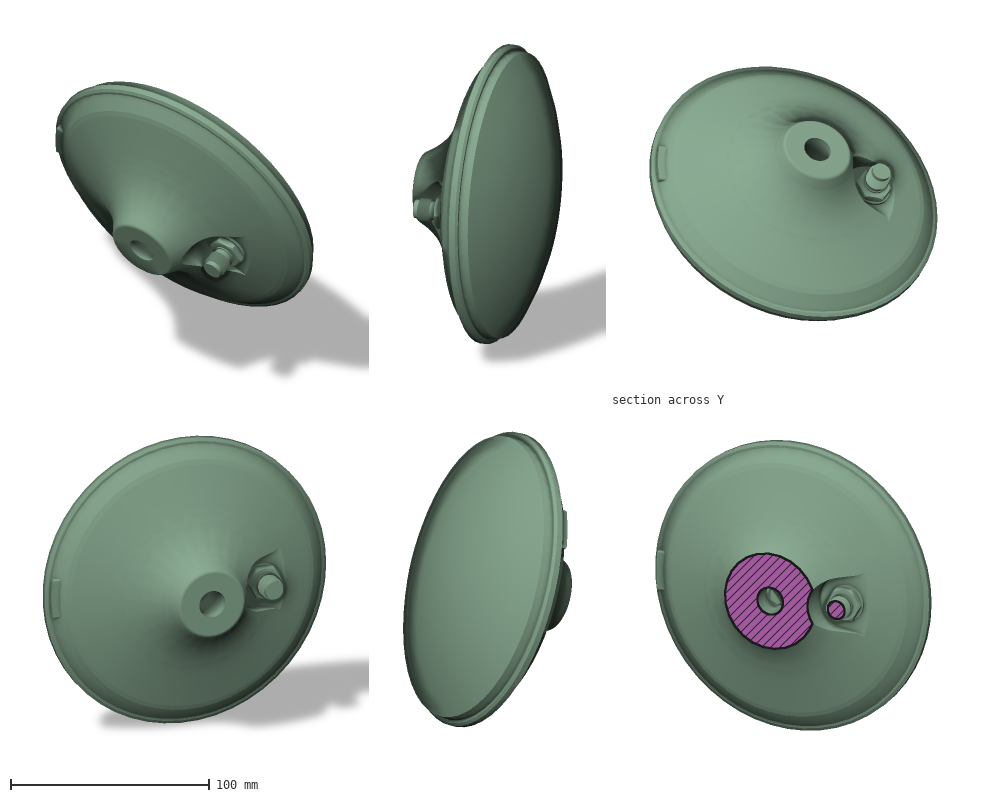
import cadquery as cq
import math

flange_radius = 75.8
height = 66.5
mounting_face_y = -height / 2
hexagon_half_angle = 30.0

dome_rim_radius = 72.4
dome_rim_level = 47.4
dome_wall_radius = 73.0

flange_top_level = 42.7
flange_bottom_level = 37.5
flange_top_chamfer = 1.2
flange_bottom_chamfer = 0.9
flange_bottom_radius = 74.2

bevel_radius = 73.0
shoulder_outer_radius = 66.5
shoulder_outer_level = 32.1
shoulder_inner_radius = 64.1
shoulder_inner_level = 30.9
flare_end_radius = 39.7
flare_end_level = 21.2
neck_mid_radius = 26.0
neck_mid_level = 12.3
stem_half_angle = 28.0
stem_radius = 18.0
stem_edge_level = 1.0
mounting_face_radius = 16.5

bore_radius = 7.0
bore_depth = 22.7
screw_across_flats = 7.9
screw_head_height = 2.3
screw_slot_width = 1.0
screw_slot_depth = 1.2
screw_slot_angle = 52.0

pocket_floor_level = 25.1
pocket_center_x = 35.6
pocket_radius = 14.0
pocket_draft = 4.0
pocket_side_x = 42.7
pocket_side_half_width = 15.3
pocket_tip_x = 46.0
pocket_tip_half_width = 17.1
pocket_end_x = 51.5
pocket_end_half_width = 20.1
pocket_arc_end_x = 33.3

connector_x = 36.5
washer_radius = 9.2
washer_thickness = 1.4
nut_across_flats = 15.9
nut_thickness = 3.6
nut_chamfer_angle = 30.0
barrel_radius = 4.7
barrel_end_level = 8.2
collar_radius = 5.3
collar_thickness = 0.8
thread_crest_radius = 5.8
thread_start_level = 10.5
thread_pitch = 0.9
thread_count = 7

tab_half_width = 10.5
tab_radius = 73.3
tab_depth = 6.7
tab_bottom_level = 34.4
tab_corner_radius = 1.0
tab_groove_half_width = 9.0
tab_groove_top_level = 37.1
tab_groove_bottom_level = 36.0
tab_groove_depth = 0.6


def revolve_about(profile, axis_x=0.0):
    """Revolve an (X, level) profile about the line parallel to Y at axis_x."""
    return profile.close().revolve(360, (axis_x, 0, 0), (axis_x, 1, 0))


def facing_mount(level):
    """Workplane at a level with local X, Y along X, Z and its normal towards the mounting face."""
    return cq.Workplane("XZ", origin=(0, level, 0))


def make_housing():
    dome_sag = height - dome_rim_level
    dome_sphere_radius = (dome_rim_radius**2 + dome_sag**2) / (2 * dome_sag)
    dome_mid_radius = dome_rim_radius / 2
    dome_mid_level = height - dome_sphere_radius + math.sqrt(dome_sphere_radius**2 - dome_mid_radius**2)
    flare_direction = (flare_end_radius - shoulder_inner_radius, flare_end_level - shoulder_inner_level)
    stem_direction = (-math.sin(math.radians(stem_half_angle)), -math.cos(math.radians(stem_half_angle)))
    profile = (
        cq.Workplane("XY")
        .moveTo(0, height)
        .threePointArc((dome_mid_radius, dome_mid_level), (dome_rim_radius, dome_rim_level))
        .lineTo(dome_wall_radius, flange_top_level)
        .lineTo(flange_radius - flange_top_chamfer, flange_top_level)
        .lineTo(flange_radius, flange_top_level - flange_top_chamfer)
        .lineTo(flange_radius, flange_bottom_level + flange_bottom_chamfer)
        .lineTo(flange_bottom_radius, flange_bottom_level)
        .lineTo(bevel_radius, flange_bottom_level)
        .lineTo(shoulder_outer_radius, shoulder_outer_level)
        .lineTo(shoulder_inner_radius, shoulder_inner_level)
        .spline(
            [
                (flare_end_radius, flare_end_level),
                (neck_mid_radius, neck_mid_level),
                (stem_radius, stem_edge_level),
            ],
            tangents=[flare_direction, stem_direction],
            includeCurrent=True,
        )
        .tangentArcPoint((mounting_face_radius, 0), relative=False)
        .lineTo(0, 0)
    )
    return revolve_about(profile)


def make_bore():
    bore = facing_mount(bore_depth).circle(bore_radius).extrude(bore_depth)
    head_diameter = screw_across_flats / math.cos(math.radians(hexagon_half_angle))
    head = (
        facing_mount(bore_depth)
        .transformed(rotate=(0, 0, hexagon_half_angle))
        .polygon(6, head_diameter)
        .extrude(screw_head_height)
    )
    slot = (
        facing_mount(bore_depth - screw_head_height + screw_slot_depth)
        .transformed(rotate=(0, 0, -screw_slot_angle))
        .rect(2 * head_diameter, screw_slot_width)
        .extrude(screw_slot_depth)
    )
    return bore.cut(head.cut(slot))


def make_pocket():
    arc_end_z = math.sqrt(pocket_radius**2 - (pocket_center_x - pocket_arc_end_x) ** 2)
    outline = (
        facing_mount(pocket_floor_level)
        .moveTo(pocket_arc_end_x, arc_end_z)
        .lineTo(pocket_side_x, pocket_side_half_width)
        .lineTo(pocket_tip_x, pocket_tip_half_width)
        .lineTo(pocket_end_x, pocket_end_half_width)
        .lineTo(pocket_end_x, -pocket_end_half_width)
        .lineTo(pocket_tip_x, -pocket_tip_half_width)
        .lineTo(pocket_side_x, -pocket_side_half_width)
        .lineTo(pocket_arc_end_x, -arc_end_z)
        .threePointArc((pocket_center_x - pocket_radius, 0), (pocket_arc_end_x, arc_end_z))
        .close()
    )
    return outline.extrude(pocket_floor_level, taper=-pocket_draft)


def make_nut(top_level):
    corner_radius = nut_across_flats / 2 / math.cos(math.radians(hexagon_half_angle))
    chamfer_radius = nut_across_flats / 2
    chamfer_height = (corner_radius - chamfer_radius) * math.tan(math.radians(nut_chamfer_angle))
    bottom_level = top_level - nut_thickness
    hexagon = facing_mount(top_level).center(connector_x, 0).polygon(6, 2 * corner_radius)
    hexagon = hexagon.extrude(nut_thickness)
    envelope = revolve_about(
        cq.Workplane("XY")
        .moveTo(connector_x, bottom_level)
        .lineTo(connector_x + chamfer_radius, bottom_level)
        .lineTo(connector_x + corner_radius, bottom_level + chamfer_height)
        .lineTo(connector_x + corner_radius, top_level - chamfer_height)
        .lineTo(connector_x + chamfer_radius, top_level)
        .lineTo(connector_x, top_level),
        connector_x,
    )
    return hexagon.intersect(envelope)


def make_connector():
    nut_top = pocket_floor_level - washer_thickness
    nut_bottom = nut_top - nut_thickness
    profile = (
        cq.Workplane("XY")
        .moveTo(connector_x, barrel_end_level)
        .lineTo(connector_x + barrel_radius, barrel_end_level)
    )
    for turn in range(thread_count):
        root_level = thread_start_level + turn * thread_pitch
        profile = profile.lineTo(connector_x + barrel_radius, root_level)
        profile = profile.lineTo(connector_x + thread_crest_radius, root_level + thread_pitch / 2)
    profile = (
        profile.lineTo(connector_x + barrel_radius, thread_start_level + thread_count * thread_pitch)
        .lineTo(connector_x + barrel_radius, nut_bottom - collar_thickness)
        .lineTo(connector_x + collar_radius, nut_bottom - collar_thickness)
        .lineTo(connector_x + collar_radius, nut_top)
        .lineTo(connector_x + washer_radius, nut_top)
        .lineTo(connector_x + washer_radius, pocket_floor_level)
        .lineTo(connector_x, pocket_floor_level)
    )
    return revolve_about(profile, connector_x).union(make_nut(nut_top))


def make_tab_bar(top_level, bottom_level, half_width):
    """Straight bar along X that reaches across the tab in the radial direction."""
    outline = facing_mount(top_level).center(-tab_radius, 0).rect(2 * tab_depth, 2 * half_width)
    return outline.extrude(top_level - bottom_level)


def make_tab():
    tab_height = flange_bottom_level - tab_bottom_level
    outer_disc = facing_mount(flange_bottom_level).circle(tab_radius).extrude(tab_height)
    groove_disc = facing_mount(flange_bottom_level).circle(tab_radius - tab_groove_depth).extrude(tab_height)
    block = make_tab_bar(flange_bottom_level, tab_bottom_level, tab_half_width)
    block = block.edges("|X and <Y").fillet(tab_corner_radius)
    groove = make_tab_bar(tab_groove_top_level, tab_groove_bottom_level, tab_groove_half_width)
    return outer_disc.intersect(block).cut(groove.cut(groove_disc))


result = (
    make_housing()
    .union(make_tab())
    .cut(make_bore())
    .cut(make_pocket())
    .union(make_connector())
    .translate((0, mounting_face_y, 0))
)